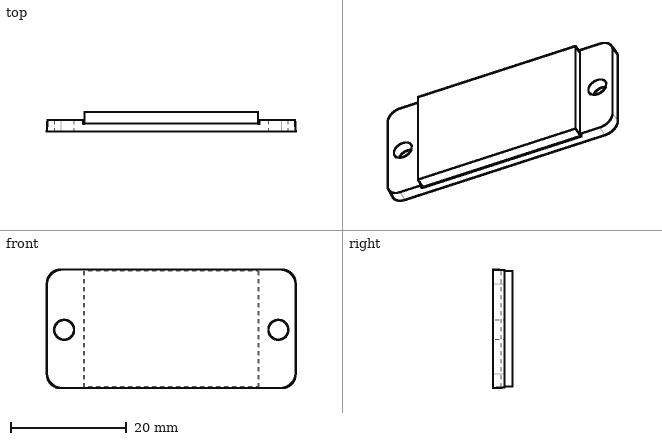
import cadquery as cq
import math

plate_length = 43.0
plate_height = 20.5
plate_thickness = 2.0
corner_radius = 2.5
draft_angle = 3.0

hole_diameter = 3.4
hole_spacing = 37.0
hole_drop = 0.17

insert_length = 30.0
insert_height = 20.0
insert_thickness = 2.0
overall_depth = 3.4
side_gap = 0.17

channel_floor = overall_depth - insert_thickness
channel_depth = plate_thickness - channel_floor
channel_length = insert_length + 2 * side_gap


def make_plate_blank():
    """Drafted plate, narrowing from the front face to the back face."""
    inset = plate_thickness * math.tan(math.radians(draft_angle))
    back_length = plate_length - 2 * inset
    back_height = plate_height - 2 * inset
    back_radius = corner_radius - inset
    front = cq.Sketch().rect(plate_length, plate_height).vertices().fillet(corner_radius)
    back = cq.Sketch().rect(back_length, back_height).vertices().fillet(back_radius)
    back_location = cq.Location(cq.Vector(0, 0, -plate_thickness))
    return cq.Workplane("XZ").placeSketch(front, back.moved(back_location)).loft()


def make_plate():
    """Plate with two through holes and a channel open at the top and bottom."""
    hole_centers = [(-hole_spacing / 2, -hole_drop), (hole_spacing / 2, -hole_drop)]
    holes = (
        cq.Workplane("XZ")
        .pushPoints(hole_centers)
        .circle(hole_diameter / 2)
        .extrude(-plate_thickness)
    )
    channel = cq.Workplane("XY").box(
        channel_length, channel_depth, plate_height, centered=(True, False, True)
    ).translate((0, channel_floor, 0))
    return make_plate_blank().cut(holes).cut(channel)


def make_insert():
    """Plain block resting on the channel floor and standing out behind the plate."""
    return cq.Workplane("XY").box(
        insert_length, insert_thickness, insert_height, centered=(True, False, True)
    ).translate((0, channel_floor, 0))


plate = make_plate()
insert = make_insert()

result = cq.Compound.makeCompound([plate.solids().val(), insert.val()])